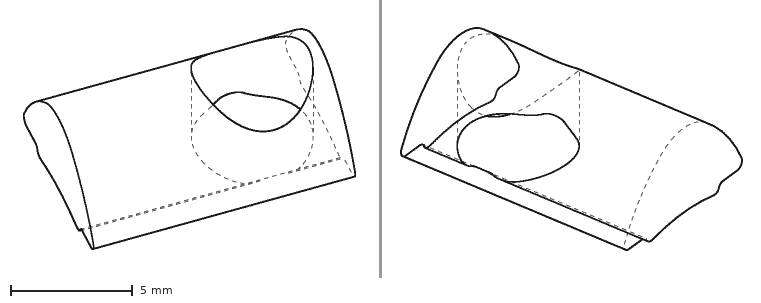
import cadquery as cq
import math

length = 11.5
height = 4.4
half_width = 4.0

crown_radius = 2.5
crown_half_width = 1.52
corner_radius = 0.33
flank_end_angle = 64.9

ledge_height = 0.38
foot_root_x = 2.69
foot_toe_x = 2.18
groove_half_width = 2.07
groove_depth = 0.23

hole_diameter = 5.0
hole_end_distance = 3.0


def arc_point(center, radius, angle):
    """Point on a circle, with the angle in degrees from +X."""
    turn = math.radians(angle)
    return center[0] + radius * math.cos(turn), center[1] + radius * math.sin(turn)


def make_bar():
    """Symmetric section in XZ, extruded along Y."""
    crown_drop = crown_radius - math.sqrt(crown_radius**2 - crown_half_width**2)
    crown_end = (crown_half_width, height - crown_drop)
    corner_center = (half_width - corner_radius, ledge_height + corner_radius)
    flank_end = arc_point(corner_center, corner_radius, 90 - flank_end_angle)
    corner_side = (half_width, corner_center[1])
    corner_bottom = (corner_center[0], ledge_height)
    step_middle = ((foot_root_x + foot_toe_x) / 2, ledge_height / 2)

    half = (
        cq.Workplane("XZ")
        .moveTo(0, height)
        .radiusArc(crown_end, crown_radius)
        .tangentArcPoint(flank_end, relative=False)
        .threePointArc(corner_side, corner_bottom)
        .lineTo(foot_root_x, ledge_height)
        .tangentArcPoint(step_middle, relative=False)
        .tangentArcPoint((foot_toe_x, 0), relative=False)
        .lineTo(groove_half_width, 0)
    )
    groove_radius = (groove_half_width**2 + groove_depth**2) / (2 * groove_depth)
    half = half.radiusArc((0, groove_depth), -groove_radius).close()
    right_half = half.extrude(length / 2, both=True)
    return right_half.union(right_half.mirror("YZ")).clean()


def make_hole():
    hole_y = length / 2 - hole_end_distance
    return cq.Workplane("XY").center(0, hole_y).circle(hole_diameter / 2).extrude(height)


result = make_bar().cut(make_hole())